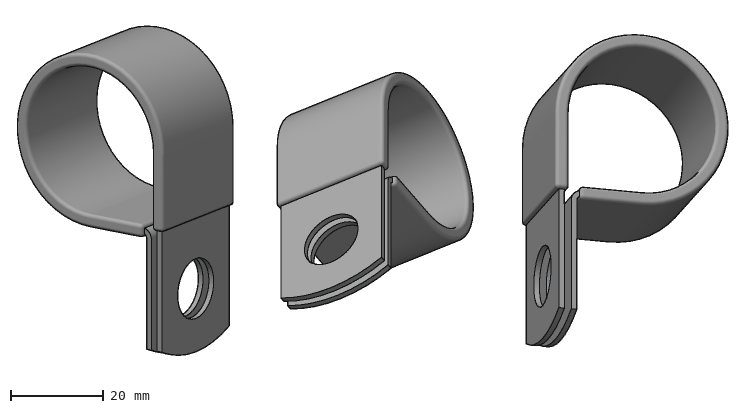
import cadquery as cq
import math

overall_height = 67.1
loop_diameter = 39.0
cushion_width = 26.95
cushion_thickness = 2.9
strap_thickness = 1.3
vertical_leg = 17.45
horizontal_leg = 14.0
tab_gap = 1.55
bend_inner_radius = 1.0
tab_end_rise = 2.95
hole_diameter = 13.5
hole_height = 14.3

outer_radius = loop_diameter / 2
inner_radius = outer_radius - cushion_thickness
edge_radius = (cushion_thickness - strap_thickness) / 2
strap_width = cushion_width - 2 * edge_radius
strap_outer = outer_radius - edge_radius
strap_inner = strap_outer - strap_thickness
bottom = outer_radius - overall_height
bent_tab_right = strap_inner - tab_gap
bent_tab_left = bent_tab_right - strap_thickness
bend_outer_radius = bend_inner_radius + strap_thickness


def make_cushion():
    """Three-quarter loop with two straight legs and rounded edges."""
    diagonal = math.sqrt(0.5)
    body = (
        cq.Workplane("XZ")
        .moveTo(outer_radius, -vertical_leg)
        .lineTo(outer_radius, 0)
        .threePointArc((-outer_radius * diagonal, outer_radius * diagonal), (0, -outer_radius))
        .lineTo(horizontal_leg, -outer_radius)
        .lineTo(horizontal_leg, -inner_radius)
        .lineTo(0, -inner_radius)
        .threePointArc((-inner_radius * diagonal, inner_radius * diagonal), (inner_radius, 0))
        .lineTo(inner_radius, -vertical_leg)
        .close()
        .extrude(cushion_width / 2, both=True)
    )
    rims = body.faces("<Y or >Y").edges()
    horizontal_end = cq.selectors.NearestToPointSelector(
        (horizontal_leg, 0, -(outer_radius + inner_radius) / 2)
    )
    vertical_end = cq.selectors.NearestToPointSelector(
        ((outer_radius + inner_radius) / 2, 0, -vertical_leg)
    )
    end_edges = body.faces(horizontal_end).edges("|Y").add(body.faces(vertical_end).edges("|Y"))
    return rims.add(end_edges).fillet(edge_radius)


def make_straight_tab():
    """Flat strap whose upper end is embedded in the vertical leg."""
    embedded_top = -vertical_leg / 2
    return (
        cq.Workplane("XZ")
        .moveTo(strap_inner, bottom)
        .lineTo(strap_outer, bottom)
        .lineTo(strap_outer, embedded_top)
        .lineTo(strap_inner, embedded_top)
        .close()
        .extrude(strap_width / 2, both=True)
    )


def make_bent_tab():
    """Strap leaving the horizontal leg and bending down beside the straight tab."""
    embedded_start = horizontal_leg / 2
    return (
        cq.Workplane("XZ")
        .moveTo(embedded_start, -strap_inner)
        .lineTo(bent_tab_right - bend_outer_radius, -strap_inner)
        .radiusArc((bent_tab_right, -strap_inner - bend_outer_radius), bend_outer_radius)
        .lineTo(bent_tab_right, bottom)
        .lineTo(bent_tab_left, bottom)
        .lineTo(bent_tab_left, -strap_outer - bend_inner_radius)
        .radiusArc((bent_tab_left - bend_inner_radius, -strap_outer), -bend_inner_radius)
        .lineTo(embedded_start, -strap_outer)
        .close()
        .extrude(strap_width / 2, both=True)
    )


def make_tab_outline():
    """Prism along X with the rounded lower end and bolt hole shared by both tabs."""
    half_width = strap_width / 2
    outline = (
        cq.Workplane("YZ")
        .moveTo(-half_width, 0)
        .lineTo(-half_width, bottom + tab_end_rise)
        .threePointArc((0, bottom), (half_width, bottom + tab_end_rise))
        .lineTo(half_width, 0)
        .close()
        .extrude(outer_radius)
    )
    hole = (
        cq.Workplane("YZ")
        .center(0, bottom + hole_height)
        .circle(hole_diameter / 2)
        .extrude(outer_radius)
    )
    return outline.cut(hole)


tab_outline = make_tab_outline()
result = make_cushion()
for tab in (make_straight_tab(), make_bent_tab()):
    result = result.union(tab.intersect(tab_outline))